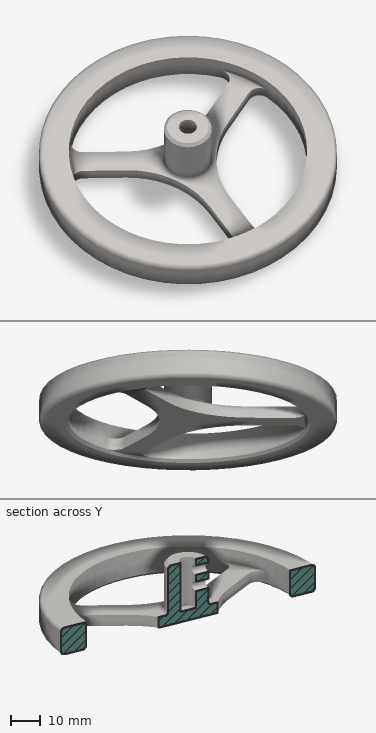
import cadquery as cq
import math

rim_radius = 50
rim_inner_radius = 40
rim_height = 10
rim_edge_fillet = 1.5
rim_inner_chamfer = 1

spoke_count = 3
spoke_width = 8
spoke_bottom = 1
spoke_thickness = 4
spoke_junction_radius = 32
spoke_rim_fillet = 4
spoke_top = spoke_bottom + spoke_thickness

hub_radius = 8
hub_top = 23
hub_top_chamfer = 1
hub_base_fillet = 1
bore_diameter = 6
bore_depth = hub_top - spoke_top

screw_hole_diameter = 3.3
lower_screw_height = 12.8
screw_hole_spacing = 6
screw_hole_count = 2


def make_rim():
    ring = cq.Workplane("XY").circle(rim_radius).circle(rim_inner_radius).extrude(rim_height)
    outer_edges = cq.selectors.RadiusNthSelector(-1)
    ring = ring.edges(outer_edges).fillet(rim_edge_fillet)
    inner_edge = cq.selectors.RadiusNthSelector(0)
    return ring.faces("<Z").edges(inner_edge).chamfer(rim_inner_chamfer)


def make_window():
    """Opening between two neighbouring spokes, centred on the -Y direction."""
    half_angle = math.pi / spoke_count
    half_width = spoke_width / 2
    inner_corner = (0, -half_width / math.sin(half_angle))

    run = math.sqrt(rim_inner_radius**2 - half_width**2)
    corner_x = run * math.sin(half_angle) - half_width * math.cos(half_angle)
    corner_y = -run * math.cos(half_angle) - half_width * math.sin(half_angle)

    window = (
        cq.Workplane("XY", origin=(0, 0, spoke_bottom))
        .moveTo(*inner_corner)
        .lineTo(corner_x, corner_y)
        .threePointArc((0, -rim_inner_radius), (-corner_x, corner_y))
        .close()
        .extrude(spoke_thickness)
    )
    window = window.edges("|Z and >Y").fillet(spoke_junction_radius)
    rim_corners = window.edges("|Z and (<X or >X)")
    return rim_corners.fillet(spoke_rim_fillet)


def make_spokes():
    base = cq.Workplane("XY", origin=(0, 0, spoke_bottom))
    spokes = base.circle(rim_inner_radius).extrude(spoke_thickness)
    window = make_window()
    for index in range(spoke_count):
        spokes = spokes.cut(window.rotate((0, 0, 0), (0, 0, 1), index * 360 / spoke_count))
    return spokes


def make_hub():
    hub = cq.Workplane("XY", origin=(0, 0, spoke_top)).circle(hub_radius).extrude(hub_top - spoke_top)
    return hub.faces(">Z").edges().chamfer(hub_top_chamfer)


def fillet_hub_base(body):
    base_edge = cq.selectors.BoxSelector(
        (-hub_radius, -hub_radius, spoke_top - hub_base_fillet),
        (hub_radius, hub_radius, spoke_top + hub_base_fillet),
    )
    return body.edges("%CIRCLE").edges(base_edge).fillet(hub_base_fillet)


def cut_hub_holes(body):
    body = body.faces(">Z").workplane(origin=(0, 0, hub_top)).hole(bore_diameter, bore_depth)
    for index in range(screw_hole_count):
        height = lower_screw_height + index * screw_hole_spacing
        screw_hole = (
            cq.Workplane("YZ", origin=(-hub_radius, 0, height))
            .circle(screw_hole_diameter / 2)
            .extrude(hub_radius)
        )
        body = body.cut(screw_hole)
    return body


wheel = make_spokes().union(make_hub())
wheel = fillet_hub_base(wheel)
wheel = wheel.union(make_rim())
result = cut_hub_holes(wheel)